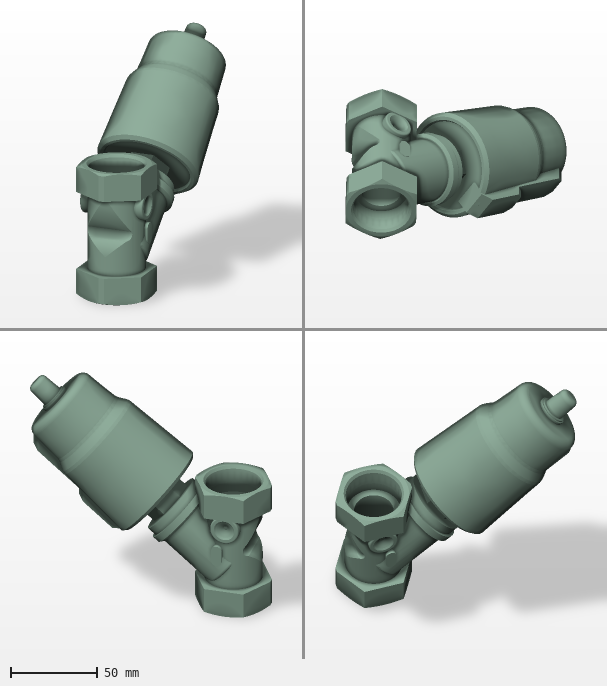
import math

import cadquery as cq


BODY_LENGTH = 80.0
HEX_ACROSS_FLATS = 41.0
HEX_LENGTH = 16.5
HEX_CORNER_REACH = 22.75
HEX_CHAMFER_ANGLE = 23.0
PIPE_RADIUS = 17.0
BORE_RADIUS = 11.5
SOCKET_MOUTH_RADIUS = 17.5
SOCKET_MOUTH_DEPTH = 1.7
SOCKET_THREAD_RADIUS = 16.35
SOCKET_THREAD_DEPTH = 10.4
SOCKET_END_RADIUS = 31.32 / 2
SOCKET_DEPTH = HEX_LENGTH

NOTCH_TOP_Z = 21.4
NOTCH_UPPER_TANGENT_Z = 24.0
NOTCH_BOTTOM_Z = -12.2
NOTCH_UPPER_RADIUS = 35.3
NOTCH_LOWER_RADIUS = 12.5
NOTCH_UPPER_ROOT_Z = 2.9
NOTCH_LOWER_ROOT_Z = -2.6
NOTCH_ROOT_DEPTH = 7.2
NOTCH_OPENING = 5.0
WEIR_THICKNESS = 1.4

BOSS_RADIUS = 8.6
BOSS_REACH = 19.7
BOSS_Z = 16.6
BOSS_EDGE_RADIUS = 0.9
DIMPLE_MOUTH_RADIUS = 6.1
DIMPLE_LIP_DEPTH = 0.8
DIMPLE_CONE_RADIUS = 5.2
DIMPLE_TIP_RADIUS = 1.25
DIMPLE_DEPTH = 3.5
PAD_LENGTH = 12.8
PAD_WIDTH = 6.3
PAD_REACH = 18.8
PAD_Y = 5.0
PAD_Z = -1.6

AXIS_ELEVATION = 40.0
AXIS_CROSSING_Z = -13.3

BRANCH_START = 0.5
BRANCH_RADIUS = 18.5
BRANCH_EDGE_RADIUS = 2.0
FLANGE_RADIUS = 21.3
FLANGE_START = 39.7
FLANGE_END = 44.0
FLANGE_CHAMFER = 1.4
COLLAR_RADIUS = 39.0 / 2
COLLAR_END = 49.6
NECK_ACROSS_FLATS = 24.2

HOUSING_START = 58.4
HOUSING_RIM_RADIUS = 28.7
HOUSING_RADIUS = 61.6 / 2
HOUSING_RIM_CHAMFER = 2.0
SHOULDER_START = 108.2
SHOULDER_START_RADIUS = 28.4
SHOULDER_END = 115.0
SHOULDER_END_RADIUS = 24.8
SHOULDER_FILLET = 4.8
CAP_END = 140.2
CAP_END_RADIUS = 23.4
CAP_FILLET = 4.8
RECESS_RADIUS = 51.7 / 2
RECESS_MOUTH_RADIUS = 26.8
RECESS_DEPTH = 1.5

KNOB_COLLAR_RADIUS = 18.2 / 2
KNOB_COLLAR_END = 141.9
KNOB_STEP_RADIUS = 8.2
KNOB_STEP_END = 142.8
KNOB_BASE_RADIUS = 6.6
KNOB_TIP_RADIUS = 6.0
KNOB_END = 156.4
KNOB_FILLET = 2.8

RIB_WIDTH = 17.0
RIB_START = HOUSING_START
RIB_LOW_HEIGHT = 29.1
RIB_LOW_END = 131.6
RIB_TALL_HEIGHT = 34.1
RIB_TALL_END = 91.6
RIB_ROOT = 20.0
RIB_START_CHAMFER = 5.4
RIB_CORNER_CUT = 3.7


def revolve_profile(points):
    """Turn a closed (radius, station) outline about the Z axis."""
    return cq.Workplane("XZ").polyline(points).close().revolve(360, (0, 0), (0, 1))


def fillet_circle(body, station, radius):
    """Round the circular edges lying at one station of a turned body."""
    tolerance = 0.01
    rims = body.edges().filter(
        lambda edge: edge.geomType() == "CIRCLE" and abs(edge.Center().z - station) < tolerance
    )
    return rims.fillet(radius)


def place_on_inclined_axis(body):
    """Move a body built along Z onto the inclined axis; its +Y side turns to the underside."""
    tilt = math.radians(AXIS_ELEVATION)
    plane = cq.Plane(
        origin=(0, 0, AXIS_CROSSING_Z),
        xDir=(1, 0, 0),
        normal=(0, math.cos(tilt), math.sin(tilt)),
    )
    return body.val().located(cq.Location(plane))


def both_x_sides(body):
    """Add the mirror image on the other X side."""
    return body.union(body.mirror("YZ"))


def both_z_ends(body):
    """Add the mirror image at the other end of the pipe."""
    return body.union(body.mirror("XY"))


def hex_end():
    """Hexagonal socket end with its outer face at the top of the body."""
    base_z = BODY_LENGTH / 2 - HEX_LENGTH
    corner_radius = HEX_ACROSS_FLATS / math.sqrt(3)
    prism = (
        cq.Workplane("XY")
        .workplane(offset=base_z)
        .polygon(6, 2 * corner_radius)
        .extrude(HEX_LENGTH)
        .rotate((0, 0, 0), (0, 0, 1), 90)
    )
    corner_trim = cq.Workplane("XY").box(2 * corner_radius, 2 * HEX_CORNER_REACH, 2 * BODY_LENGTH)
    face_radius = HEX_ACROSS_FLATS / 2
    chamfer_drop = (corner_radius - face_radius) * math.tan(math.radians(HEX_CHAMFER_ANGLE))
    turned_envelope = revolve_profile([
        (0, base_z),
        (corner_radius, base_z),
        (corner_radius, BODY_LENGTH / 2 - chamfer_drop),
        (face_radius, BODY_LENGTH / 2),
        (0, BODY_LENGTH / 2),
    ])
    return prism.intersect(corner_trim).intersect(turned_envelope)


def socket_bore():
    """Tapered threaded socket opening at the top end."""
    top = BODY_LENGTH / 2
    return revolve_profile([
        (0, top),
        (SOCKET_MOUTH_RADIUS, top),
        (SOCKET_THREAD_RADIUS, top - SOCKET_MOUTH_DEPTH),
        (SOCKET_END_RADIUS, top - SOCKET_THREAD_DEPTH),
        (SOCKET_END_RADIUS, top - SOCKET_DEPTH),
        (0, top - SOCKET_DEPTH),
    ])


def notch_prism(growth):
    """Notch cross-section in the YZ plane, grown outwards, as a prism along X."""
    face_y = -PIPE_RADIUS
    upper_radius = NOTCH_UPPER_RADIUS - growth
    lower_radius = NOTCH_LOWER_RADIUS - growth
    upper_centre_y = face_y + NOTCH_UPPER_RADIUS
    lower_centre_y = face_y + NOTCH_LOWER_RADIUS

    def upper_flank(z):
        return upper_centre_y - math.sqrt(upper_radius**2 - (NOTCH_UPPER_TANGENT_Z - z) ** 2)

    def lower_flank(z):
        return lower_centre_y - math.sqrt(lower_radius**2 - (z - NOTCH_BOTTOM_Z) ** 2)

    outside_y = face_y - NOTCH_OPENING
    upper_middle_z = (NOTCH_TOP_Z + NOTCH_UPPER_ROOT_Z) / 2
    lower_middle_z = (NOTCH_BOTTOM_Z + NOTCH_LOWER_ROOT_Z) / 2
    root_middle_z = (NOTCH_UPPER_ROOT_Z + NOTCH_LOWER_ROOT_Z) / 2
    return (
        cq.Workplane("YZ")
        .moveTo(outside_y, NOTCH_TOP_Z)
        .lineTo(upper_flank(NOTCH_TOP_Z), NOTCH_TOP_Z)
        .threePointArc(
            (upper_flank(upper_middle_z), upper_middle_z),
            (upper_flank(NOTCH_UPPER_ROOT_Z), NOTCH_UPPER_ROOT_Z),
        )
        .threePointArc(
            (face_y + NOTCH_ROOT_DEPTH + growth, root_middle_z),
            (lower_flank(NOTCH_LOWER_ROOT_Z), NOTCH_LOWER_ROOT_Z),
        )
        .threePointArc(
            (lower_flank(lower_middle_z), lower_middle_z),
            (lower_flank(NOTCH_BOTTOM_Z), NOTCH_BOTTOM_Z),
        )
        .lineTo(outside_y, NOTCH_BOTTOM_Z)
        .close()
        .extrude(PIPE_RADIUS, both=True)
    )


def side_boss():
    """Round boss on the -X side with a rounded rim."""
    return (
        cq.Workplane("YZ", origin=(-BOSS_REACH, 0, BOSS_Z))
        .circle(BOSS_RADIUS)
        .extrude(BOSS_REACH)
        .faces("<X")
        .edges()
        .fillet(BOSS_EDGE_RADIUS)
    )


def boss_dimple():
    """Conical sink with a bevelled lip in the face of the -X boss."""
    turned = revolve_profile([
        (0, 0),
        (DIMPLE_MOUTH_RADIUS, 0),
        (DIMPLE_CONE_RADIUS, DIMPLE_LIP_DEPTH),
        (DIMPLE_TIP_RADIUS, DIMPLE_DEPTH),
        (0, DIMPLE_DEPTH),
    ])
    return turned.rotate((0, 0, 0), (0, 1, 0), 90).translate((-BOSS_REACH, 0, BOSS_Z))


def direction_pad():
    """Raised oblong pad on the -X side, at the root of the branch."""
    return (
        cq.Workplane("YZ", origin=(-PAD_REACH, PAD_Y, PAD_Z))
        .slot2D(PAD_LENGTH, PAD_WIDTH, 90)
        .extrude(PAD_REACH)
    )


def branch():
    """Inclined branch with its flange and collar."""
    turned = revolve_profile([
        (0, BRANCH_START),
        (BRANCH_RADIUS, BRANCH_START),
        (BRANCH_RADIUS, FLANGE_START - FLANGE_CHAMFER),
        (COLLAR_RADIUS, FLANGE_START - FLANGE_CHAMFER),
        (FLANGE_RADIUS, FLANGE_START),
        (FLANGE_RADIUS, FLANGE_END),
        (COLLAR_RADIUS, FLANGE_END),
        (COLLAR_RADIUS, COLLAR_END),
        (0, COLLAR_END),
    ])
    return fillet_circle(turned, BRANCH_START, BRANCH_EDGE_RADIUS)


def neck():
    """Hexagonal neck joining the collar to the recessed underside of the housing."""
    corner_diameter = NECK_ACROSS_FLATS * 2 / math.sqrt(3)
    return (
        cq.Workplane("XY")
        .workplane(offset=COLLAR_END)
        .polygon(6, corner_diameter)
        .extrude(HOUSING_START + RECESS_DEPTH - COLLAR_END)
    )


def housing():
    """Tapered actuator housing and cap, with a shallow recess in its lower face."""
    turned = revolve_profile([
        (0, HOUSING_START + RECESS_DEPTH),
        (RECESS_RADIUS, HOUSING_START + RECESS_DEPTH),
        (RECESS_MOUTH_RADIUS, HOUSING_START),
        (HOUSING_RIM_RADIUS, HOUSING_START),
        (HOUSING_RADIUS, HOUSING_START + HOUSING_RIM_CHAMFER),
        (SHOULDER_START_RADIUS, SHOULDER_START),
        (SHOULDER_END_RADIUS, SHOULDER_END),
        (CAP_END_RADIUS, CAP_END),
        (0, CAP_END),
    ])
    turned = fillet_circle(turned, SHOULDER_START, SHOULDER_FILLET)
    turned = fillet_circle(turned, SHOULDER_END, SHOULDER_FILLET)
    return fillet_circle(turned, CAP_END, CAP_FILLET)


def knob():
    """Stepped indicator knob standing on the cap."""
    turned = revolve_profile([
        (0, CAP_END),
        (KNOB_COLLAR_RADIUS, CAP_END),
        (KNOB_COLLAR_RADIUS, KNOB_COLLAR_END),
        (KNOB_STEP_RADIUS, KNOB_COLLAR_END),
        (KNOB_STEP_RADIUS, KNOB_STEP_END),
        (KNOB_BASE_RADIUS, KNOB_STEP_END),
        (KNOB_TIP_RADIUS, KNOB_END),
        (0, KNOB_END),
    ])
    return fillet_circle(turned, KNOB_END, KNOB_FILLET)


def rib_block(height, start, end):
    """One level of the port rib; its far end slopes parallel to the pipe axis."""
    lean = math.tan(math.radians(AXIS_ELEVATION))
    block = (
        cq.Workplane("YZ")
        .moveTo(RIB_ROOT, start)
        .lineTo(height, start)
        .lineTo(height, end)
        .lineTo(RIB_ROOT, end + (height - RIB_ROOT) * lean)
        .close()
        .extrude(RIB_WIDTH / 2, both=True)
    )
    return block.faces(">Z").edges("not |X").chamfer(RIB_CORNER_CUT)


def port_rib():
    """Two-level rib on the underside: tall beside the ports, low up to the cap."""
    tall = rib_block(RIB_TALL_HEIGHT, RIB_START, RIB_TALL_END)
    tall = tall.faces(">Y").edges("<Z").chamfer(RIB_START_CHAMFER)
    low = rib_block(RIB_LOW_HEIGHT, RIB_START + RIB_START_CHAMFER, RIB_LOW_END)
    return low.union(tall)


def upright_cylinder(radius, length):
    """Cylinder on the pipe axis, centred on the origin."""
    return cq.Workplane("XY").workplane(offset=-length / 2).circle(radius).extrude(length)


def valve():
    """Join the solid parts, open the flow passage, then add the actuator."""
    body = upright_cylinder(PIPE_RADIUS, BODY_LENGTH - 2 * HEX_LENGTH)
    body = body.union(both_z_ends(hex_end()))
    body = body.union(place_on_inclined_axis(branch()))
    body = body.union(both_x_sides(side_boss()))
    body = body.union(both_x_sides(direction_pad()))

    bore = upright_cylinder(BORE_RADIUS, BODY_LENGTH).cut(notch_prism(WEIR_THICKNESS))
    body = body.cut(bore)
    body = body.cut(both_z_ends(socket_bore()))
    body = body.cut(notch_prism(0))
    body = body.cut(both_x_sides(boss_dimple()))

    for actuator_part in (neck(), housing(), knob(), port_rib()):
        body = body.union(place_on_inclined_axis(actuator_part))
    return body


result = valve()